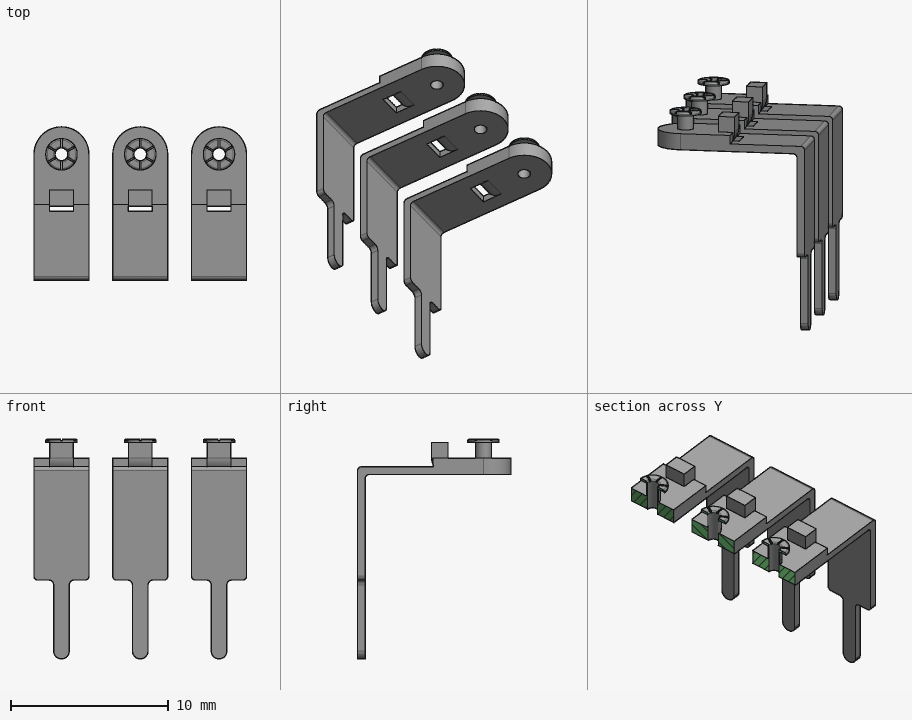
import cadquery as cq

terminal_count = 3
pitch = 5.0

width = 3.5
arm_length = 9.75
strip_thickness = 0.5
pad_thickness = 1.05
pad_length = 4.95
pad_end_radius = width / 2
bend_radius = 0.25

tail_width = 1.0
tail_length = 5.0
tail_root_radius = 0.3
shoulder_radius = 0.25

rivet_diameter = 1.02
rivet_bore = 0.8
flange_diameter = 2.0
flange_thickness = 0.2
flange_rounding = 0.1
rivet_height = 1.2
groove_count = 6
groove_width = 0.1
groove_depth = 0.1

tab_width = 1.5
tab_length = pad_thickness
tab_height = 1.0
tab_overhang = 0.1
slot_gap = 0.3

total_height = 13.95
pad_top = total_height - rivet_height
arm_bottom = pad_top - pad_thickness
arm_top = arm_bottom + strip_thickness

pad_front = arm_length - pad_length
rivet_y = arm_length - pad_end_radius
tab_front = pad_front - tab_overhang
slot_front = tab_front - slot_gap
tab_back = tab_front + tab_length


def block(size_x, y_min, y_max, z_min, z_max):
    """Box centred on X between the given Y and Z limits."""
    return (
        cq.Workplane("XY", origin=(0, 0, z_min))
        .center(0, (y_min + y_max) / 2)
        .rect(size_x, y_max - y_min)
        .extrude(z_max - z_min)
    )


def bent_strip():
    """Bent side profile in the YZ plane, trimmed to a half-round pad end."""
    strip = (
        cq.Workplane("YZ")
        .moveTo(0, 0)
        .lineTo(0, arm_top - bend_radius)
        .radiusArc((bend_radius, arm_top), bend_radius)
        .lineTo(pad_front, arm_top)
        .lineTo(pad_front, pad_top)
        .lineTo(arm_length, pad_top)
        .lineTo(arm_length, arm_bottom)
        .lineTo(strip_thickness + bend_radius, arm_bottom)
        .radiusArc((strip_thickness, arm_bottom - bend_radius), -bend_radius)
        .lineTo(strip_thickness, 0)
        .close()
        .extrude(width / 2, both=True)
    )
    rounded_outline = (
        cq.Workplane("XY")
        .moveTo(-width / 2, 0)
        .lineTo(-width / 2, rivet_y)
        .threePointArc((0, arm_length), (width / 2, rivet_y))
        .lineTo(width / 2, 0)
        .close()
        .extrude(pad_top)
    )
    return strip.intersect(rounded_outline)


def tail_cutter(side):
    """Material removed beside the tail; side is -1 or 1 along X."""
    inner = side * tail_width / 2
    outer = side * width / 2
    return (
        cq.Workplane("XZ")
        .moveTo(inner, 0)
        .lineTo(inner, tail_length - tail_root_radius)
        .radiusArc((inner + side * tail_root_radius, tail_length), side * tail_root_radius)
        .lineTo(outer - side * shoulder_radius, tail_length)
        .radiusArc((outer, tail_length + shoulder_radius), -side * shoulder_radius)
        .lineTo(outer, 0)
        .close()
        .extrude(-strip_thickness)
    )


def tail_tip_cutter():
    """Corners outside the half-round tip of the tail."""
    tip_radius = tail_width / 2
    corners = block(tail_width, 0, strip_thickness, 0, tip_radius)
    tip = cq.Workplane("XZ").center(0, tip_radius).circle(tip_radius).extrude(-strip_thickness)
    return corners.cut(tip)


def tab():
    """Upright tab whose front face curves back, as a quarter round, to the underside of the pad."""
    return (
        cq.Workplane("YZ")
        .moveTo(tab_back, pad_top + tab_height)
        .lineTo(tab_front, pad_top + tab_height)
        .lineTo(tab_front, pad_top)
        .radiusArc((tab_back, arm_bottom), -tab_length)
        .close()
        .extrude(tab_width / 2, both=True)
    )


def rivet():
    """Hollow shank and its rounded flange, with radial grooves across the flange top."""
    shank = cq.Workplane("XY").circle(rivet_diameter / 2).extrude(rivet_height - flange_thickness)
    flange = (
        cq.Workplane("XY", origin=(0, 0, rivet_height - flange_thickness))
        .circle(flange_diameter / 2)
        .circle(rivet_bore / 2)
        .extrude(flange_thickness)
        .faces(">Z")
        .edges()
        .fillet(flange_rounding)
    )
    body = shank.cut(bore(rivet_height)).union(flange)
    for index in range(groove_count):
        groove = block(groove_width, 0, flange_diameter, rivet_height - groove_depth, rivet_height)
        angle = index * 360 / groove_count
        body = body.cut(groove.rotate((0, 0, 0), (0, 0, 1), angle))
    return body


def bore(depth):
    """Rivet bore, rising from the XY plane."""
    return cq.Workplane("XY").circle(rivet_bore / 2).extrude(depth)


def terminal():
    """One complete terminal, centred on X."""
    body = bent_strip()
    for side in (-1, 1):
        body = body.cut(tail_cutter(side))
    body = body.cut(tail_tip_cutter())
    slot = block(tab_width, slot_front, tab_back, arm_bottom, pad_top)
    body = body.cut(slot).union(tab())
    body = body.cut(bore(pad_thickness).translate((0, rivet_y, arm_bottom)))
    return body.union(rivet().translate((0, rivet_y, pad_top)))


terminals = []
for position in range(terminal_count):
    offset = (position - (terminal_count - 1) / 2) * pitch
    terminals.append(terminal().translate((offset, 0, 0)))

result = cq.Compound.makeCompound([body.val() for body in terminals])